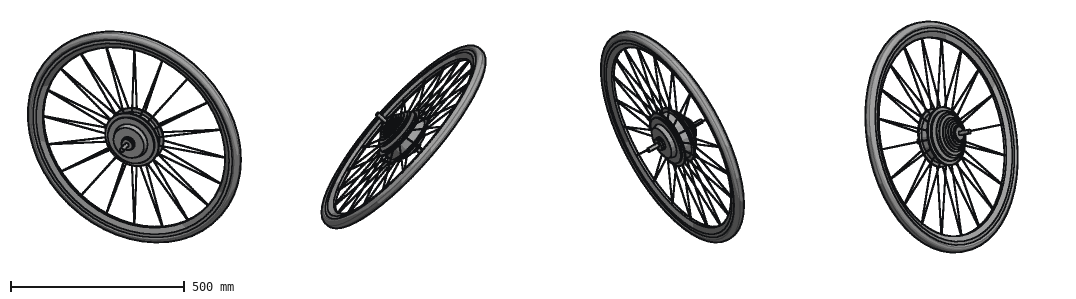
import cadquery as cq


wheel_radius = 336.0
tire_half_width = 15.5
tread_half_width = 5.5
tire_wide_radius = 323.0
tire_shoulder_arc_radius = 12.0
tire_bead_arc_radius = 8.0

rim_outer_radius = 317.0
rim_shoulder_radius = 307.0
rim_inner_radius = 290.0
rim_half_width = 12.0
rim_bed_half_width = 4.0

flange_radius = 85.0
flange_outer_y = 19.0
flange_thickness = 4.0
shell_radius = 73.0
shell_half_width = 24.0

cover_base_radius = 53.0
cover_tip_radius = 48.5
cover_end_y = 39.0
nut_radius = 19.5
nut_end_y = 45.0
washer_radius = 17.5
washer_end_y = 51.0

drum_radius = 21.0
drum_end_y = 68.5
sprocket_radii = [66.0, 60.0, 50.0, 44.0, 37.5, 31.5, 25.5]
sprocket_thickness = 2.0
first_sprocket_y = 34.0
sprocket_pitch = 5.05

axle_radius = 6.0
axle_length = 190.0
axle_front_y = 86.0

spokes_per_side = 20
spoke_radius = 0.8
spoke_hub_radius = 81.0
spoke_hub_y = flange_outer_y - flange_thickness / 2
spoke_rim_depth = 2.0
spoke_rim_radius = rim_inner_radius + spoke_rim_depth
spoke_rim_y = 1.0


def disc(radius, start_y, end_y):
    """Solid cylinder on the wheel axis between two Y positions."""
    plane = cq.Workplane("XZ", origin=(0, start_y, 0))
    return plane.circle(radius).extrude(start_y - end_y)


def revolve_about_axle(profile):
    """Turn a closed profile (radius along X, width along Y) about the Y axis."""
    return profile.close().revolve(360, (0, 0, 0), (0, 1, 0))


def make_tire_and_rim():
    """Tire with rounded shoulders on a rim that tapers towards the spokes."""
    profile = (
        cq.Workplane("XY")
        .moveTo(rim_inner_radius, -rim_bed_half_width)
        .lineTo(rim_shoulder_radius, -rim_half_width)
        .lineTo(rim_outer_radius, -rim_half_width)
        .radiusArc((tire_wide_radius, -tire_half_width), -tire_bead_arc_radius)
        .radiusArc((wheel_radius, -tread_half_width), -tire_shoulder_arc_radius)
        .lineTo(wheel_radius, tread_half_width)
        .radiusArc((tire_wide_radius, tire_half_width), -tire_shoulder_arc_radius)
        .radiusArc((rim_outer_radius, rim_half_width), -tire_bead_arc_radius)
        .lineTo(rim_shoulder_radius, rim_half_width)
        .lineTo(rim_inner_radius, rim_bed_half_width)
    )
    return revolve_about_axle(profile)


def make_hub():
    """Hub shell with two spoke flanges, the tapered front cover, its nut and the axle."""
    hub = disc(shell_radius, -shell_half_width, shell_half_width)
    flange_inner_y = flange_outer_y - flange_thickness
    hub = hub.union(disc(flange_radius, -flange_outer_y, -flange_inner_y))
    hub = hub.union(disc(flange_radius, flange_inner_y, flange_outer_y))
    cover = (
        cq.Workplane("XY")
        .moveTo(0, -shell_half_width)
        .lineTo(cover_base_radius, -shell_half_width)
        .lineTo(cover_tip_radius, -cover_end_y)
        .lineTo(0, -cover_end_y)
    )
    hub = hub.union(revolve_about_axle(cover))
    hub = hub.union(disc(nut_radius, -nut_end_y, 0))
    hub = hub.union(disc(washer_radius, -washer_end_y, 0))
    return hub.union(disc(axle_radius, -axle_front_y, axle_length - axle_front_y))


def make_sprockets():
    """Drum carrying evenly spaced thin discs that shrink away from the hub."""
    cluster = disc(drum_radius, 0, drum_end_y)
    for index, radius in enumerate(sprocket_radii):
        start_y = first_sprocket_y + index * sprocket_pitch
        cluster = cluster.union(disc(radius, start_y, start_y + sprocket_thickness))
    return cluster


def make_spoke(angle, side):
    """Round spoke from a flange (side is -1 front, +1 rear) to the rim."""
    start = cq.Vector(spoke_hub_radius, side * spoke_hub_y, 0)
    run = cq.Vector(spoke_rim_radius, side * spoke_rim_y, 0) - start
    spoke = cq.Solid.makeCylinder(spoke_radius, run.Length, start, run)
    return spoke.rotate(cq.Vector(0, 0, 0), cq.Vector(0, 1, 0), angle)


def make_spokes():
    """Spokes of both sides; each pair meets at the rim."""
    step = 360 / spokes_per_side
    return [make_spoke(i * step, side) for i in range(spokes_per_side) for side in (-1, 1)]


body = make_tire_and_rim().union(make_hub()).union(make_sprockets())
result = cq.Workplane("XY").newObject([body.val().fuse(*make_spokes())])